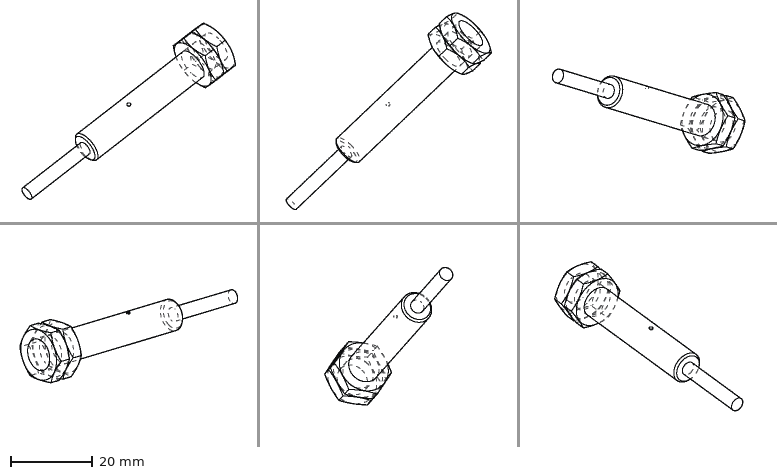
import cadquery as cq
import math

total_length = 65.0
cable_length = 20.0
cable_diameter = 3.5

housing_diameter = 8.0
end_chamfer_length = 0.5
end_chamfer_depth = 0.5

dimple_diameter = 1.0
dimple_from_cable_end = 15.0

nut_count = 2
nut_across_flats = 13.0
nut_across_corners = nut_across_flats / math.cos(math.radians(30))
nut_stack_length = 8.0
nut_thickness = nut_stack_length / nut_count
nut_face_diameter = 12.9
nut_chamfer_angle = 30.0


def make_sensor():
    """Cylindrical housing and its cable, revolved about Y, with the dimple."""
    housing_radius = housing_diameter / 2
    cable_radius = cable_diameter / 2
    profile = (
        cq.Workplane("XY")
        .moveTo(0, 0)
        .lineTo(cable_radius, 0)
        .lineTo(cable_radius, cable_length)
        .lineTo(housing_radius - end_chamfer_depth, cable_length)
        .lineTo(housing_radius, cable_length + end_chamfer_length)
        .lineTo(housing_radius, total_length)
        .lineTo(0, total_length)
        .close()
    )
    sensor = profile.revolve(360, (0, 0, 0), (0, 1, 0))

    dimple_y = cable_length + dimple_from_cable_end
    dimple = (
        cq.Workplane("XY", origin=(0, dimple_y, housing_radius))
        .sphere(dimple_diameter / 2)
    )
    return sensor.cut(dimple)


def make_nut(front_y):
    """Hexagon nut with conical corner chamfers on both faces and a plain bore."""
    hexagon = (
        cq.Workplane("XZ")
        .polygon(6, nut_across_corners)
        .extrude(-nut_thickness)
    )

    corner_radius = nut_across_corners / 2
    face_radius = nut_face_diameter / 2
    chamfer_length = (corner_radius - face_radius) * math.tan(math.radians(nut_chamfer_angle))
    chamfer_envelope = (
        cq.Workplane("XY")
        .moveTo(0, 0)
        .lineTo(face_radius, 0)
        .lineTo(corner_radius, chamfer_length)
        .lineTo(corner_radius, nut_thickness - chamfer_length)
        .lineTo(face_radius, nut_thickness)
        .lineTo(0, nut_thickness)
        .close()
        .revolve(360, (0, 0, 0), (0, 1, 0))
    )

    bore = cq.Workplane("XZ").circle(housing_diameter / 2).extrude(-nut_thickness)
    nut = hexagon.intersect(chamfer_envelope).cut(bore)
    return nut.translate((0, front_y, 0))


sensor = make_sensor()

nuts = []
for index in range(nut_count):
    nut_front_y = total_length - (index + 1) * nut_thickness
    nuts.append(make_nut(nut_front_y).val())

result = cq.Compound.makeCompound([sensor.val(), *nuts])